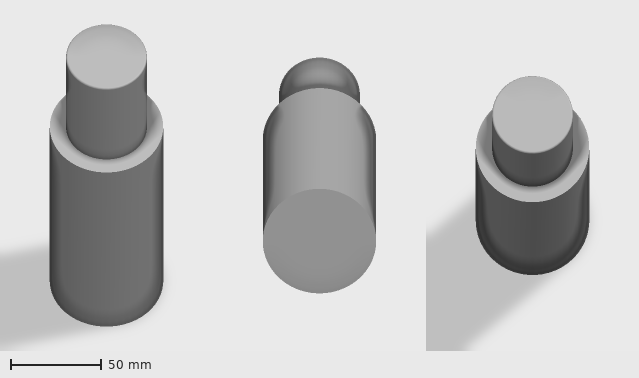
import cadquery as cq

total_height = 210.0
body_diameter = 63.0
body_height = 144.0
pin_diameter = 45.0
pin_edge_radius = 1.0

body = cq.Workplane("XY").circle(body_diameter / 2).extrude(body_height)

pin = (
    cq.Workplane("XY")
    .workplane(offset=body_height)
    .circle(pin_diameter / 2)
    .extrude(total_height - body_height)
    .faces(">Z")
    .fillet(pin_edge_radius)
)

result = body.union(pin)